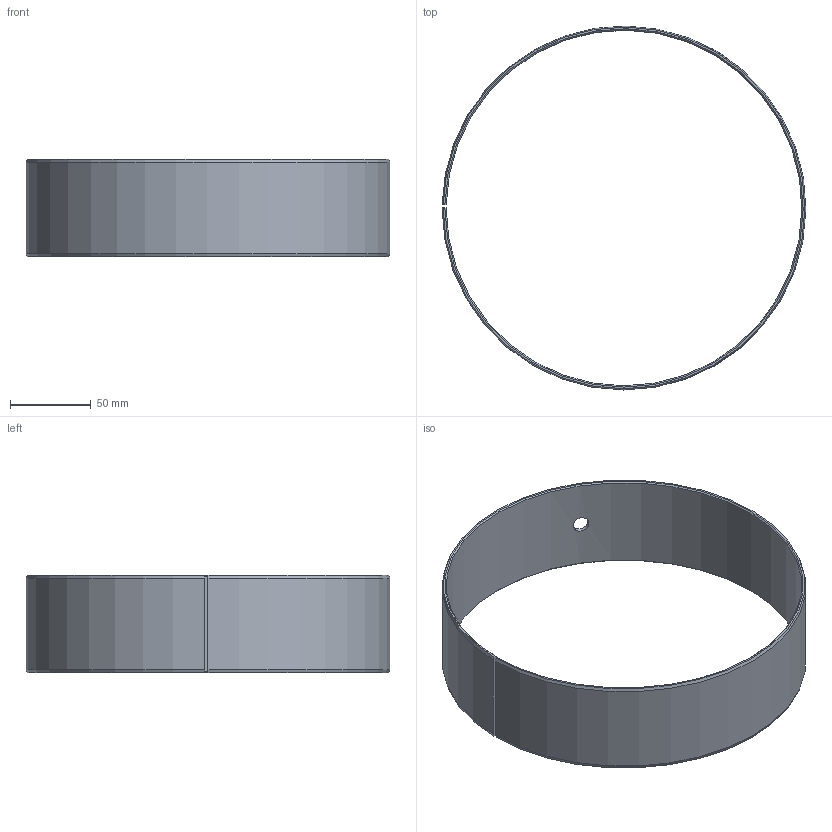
import cadquery as cq
import math

OUTER_DIAMETER = 225.0
WALL = 2.5
HEIGHT = 60.0

OUTER_BEVEL_HEIGHT = 1.8
OUTER_BEVEL_ANGLE = 20.0
OUTER_BEVEL_DEPTH = OUTER_BEVEL_HEIGHT * math.tan(math.radians(OUTER_BEVEL_ANGLE))

INNER_CHAMFER = 0.8

GAP_ANGLE = 1.0
BAND_START_ANGLE = 180.0
BAND_SWEEP = 360.0 - GAP_ANGLE

HOLE_DIAMETER = 10.0
HOLE_ANGLE = 59.0
HOLE_Z = HEIGHT / 2

OUTER_RADIUS = OUTER_DIAMETER / 2
INNER_RADIUS = OUTER_RADIUS - WALL


def turn_about_z(body, angle):
    """Rotate a body about the band's axis."""
    return body.rotate((0, 0, 0), (0, 0, 1), angle)


def make_band():
    """Sweep the wall section, bevelled at all four rim corners, around Z."""
    outer_rim_radius = OUTER_RADIUS - OUTER_BEVEL_DEPTH
    inner_rim_radius = INNER_RADIUS + INNER_CHAMFER
    section = [
        (inner_rim_radius, 0),
        (outer_rim_radius, 0),
        (OUTER_RADIUS, OUTER_BEVEL_HEIGHT),
        (OUTER_RADIUS, HEIGHT - OUTER_BEVEL_HEIGHT),
        (outer_rim_radius, HEIGHT),
        (inner_rim_radius, HEIGHT),
        (INNER_RADIUS, HEIGHT - INNER_CHAMFER),
        (INNER_RADIUS, INNER_CHAMFER),
    ]
    band = cq.Workplane("XZ").polyline(section).close().revolve(BAND_SWEEP, (0, 0, 0), (0, 1, 0))
    return turn_about_z(band, BAND_START_ANGLE)


def make_hole():
    """Radial cutter running from the band's axis out through one wall."""
    cutter = cq.Workplane("YZ").center(0, HOLE_Z).circle(HOLE_DIAMETER / 2).extrude(OUTER_DIAMETER)
    return turn_about_z(cutter, HOLE_ANGLE)


result = make_band().cut(make_hole())